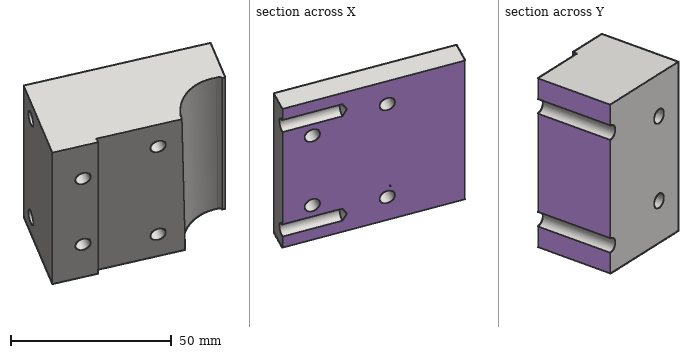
import cadquery as cq
import math

width = 30.0
length = 61.0
height = 60.0

relief_depth = 1.6
foot_length = 14.9

recess_radius = 14.2
recess_center_x = 28.85
recess_center_y = 56.95
recess_shift = 1.1
recess_overrun = 5.0

lip_thickness = 0.9
lip_reach = 15.4
lip_fillet = 1.3

hole_diameter = 5.0
cross_hole_pairs = [(10.0, 30.0), (35.0, 40.0)]
end_hole_x = 7.5
end_hole_edge_distance = 7.5
end_hole_depth = 20.0
drill_point_angle = 118.0


def make_block():
    """Rectangular block with the +X side relieved above the foot."""
    block = cq.Workplane("XY").box(width, length, height, centered=False)
    relief = (
        cq.Workplane("XY")
        .box(relief_depth, length - foot_length, height, centered=False)
        .translate((width - relief_depth, foot_length, 0))
    )
    return block.cut(relief)


def make_recess():
    """Leaning cylinder, trimmed at the lip, plus the clearance beyond the lip."""
    shift_per_height = recess_shift / height
    axis = cq.Vector(0, -shift_per_height, 1)
    start = cq.Vector(
        recess_center_x,
        recess_center_y + recess_shift + shift_per_height * recess_overrun,
        -recess_overrun,
    )
    cylinder_length = (height + 2 * recess_overrun) * axis.Length
    bore = cq.Workplane(cq.Solid.makeCylinder(recess_radius, cylinder_length, start, axis))

    opening = (
        cq.Workplane("XY")
        .box(width - lip_reach, length - recess_center_y, height, centered=False)
        .translate((lip_reach, recess_center_y, 0))
    )
    bore_limit = (
        cq.Workplane("XY")
        .box(width, length - lip_thickness - lip_fillet, height, centered=False)
    )
    rounded_corner = (
        cq.Workplane("XY")
        .center(recess_center_x - recess_radius + lip_fillet, length - lip_thickness - lip_fillet)
        .circle(lip_fillet)
        .extrude(height)
    )
    return bore.intersect(bore_limit).union(opening).union(rounded_corner)


def make_cross_holes():
    """Through holes along X, in pairs centred on the height."""
    points = []
    for y, spacing in cross_hole_pairs:
        points.append((y, (height - spacing) / 2))
        points.append((y, (height + spacing) / 2))
    return cq.Workplane("YZ").pushPoints(points).circle(hole_diameter / 2).extrude(width)


def make_end_hole(z):
    """Blind drilled hole along Y with a conical bottom."""
    radius = hole_diameter / 2
    point_length = radius / math.tan(math.radians(drill_point_angle / 2))
    return (
        cq.Workplane("XY", origin=(end_hole_x, 0, z))
        .lineTo(radius, 0)
        .lineTo(radius, end_hole_depth)
        .lineTo(0, end_hole_depth + point_length)
        .close()
        .revolve(360, (0, 0, 0), (0, 1, 0))
    )


result = make_block().cut(make_recess()).cut(make_cross_holes())
for end_hole_z in (end_hole_edge_distance, height - end_hole_edge_distance):
    result = result.cut(make_end_hole(end_hole_z))